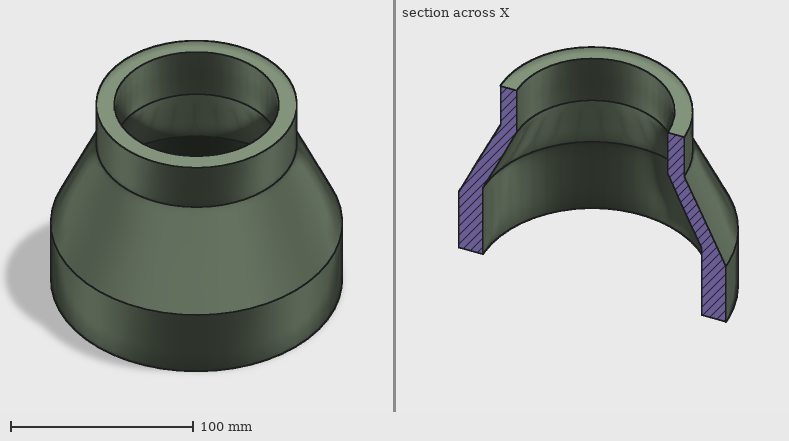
import cadquery as cq

base_diameter = 160.0
neck_diameter = 110.0
neck_wall = 10.0
base_wall = 14.5

base_height = 40.0
cone_height = 56.0
neck_height = 28.0

base_bore_depth = 47.5
neck_bore_depth = 30.0

base_radius = base_diameter / 2
neck_radius = neck_diameter / 2
base_bore_radius = base_radius - base_wall
neck_bore_radius = neck_radius - neck_wall
cone_top = base_height + cone_height
total_height = cone_top + neck_height

wall_section = (
    cq.Workplane("XZ")
    .moveTo(base_radius, 0)
    .lineTo(base_radius, base_height)
    .lineTo(neck_radius, cone_top)
    .lineTo(neck_radius, total_height)
    .lineTo(neck_bore_radius, total_height)
    .lineTo(neck_bore_radius, total_height - neck_bore_depth)
    .lineTo(base_bore_radius, base_bore_depth)
    .lineTo(base_bore_radius, 0)
    .close()
)

result = wall_section.revolve(360, (0, 0, 0), (0, 1, 0))